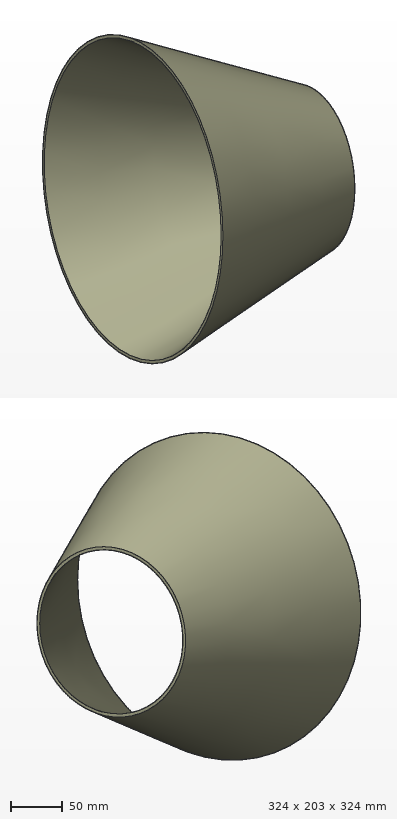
import cadquery as cq
import math

wide_diameter = 324.0
narrow_diameter = 168.5
length = 203.0
wall = 3.0

wide_radius = wide_diameter / 2
narrow_radius = narrow_diameter / 2

slope = math.atan2(wide_radius - narrow_radius, length)
rim_width = wall / math.cos(slope)

wall_section = [
    (wide_radius - rim_width, 0),
    (wide_radius, 0),
    (narrow_radius, length),
    (narrow_radius - rim_width, length),
]

axis_start = (0, 0, 0)
axis_end = (0, 1, 0)
result = cq.Workplane("XY").polyline(wall_section).close().revolve(360, axis_start, axis_end)